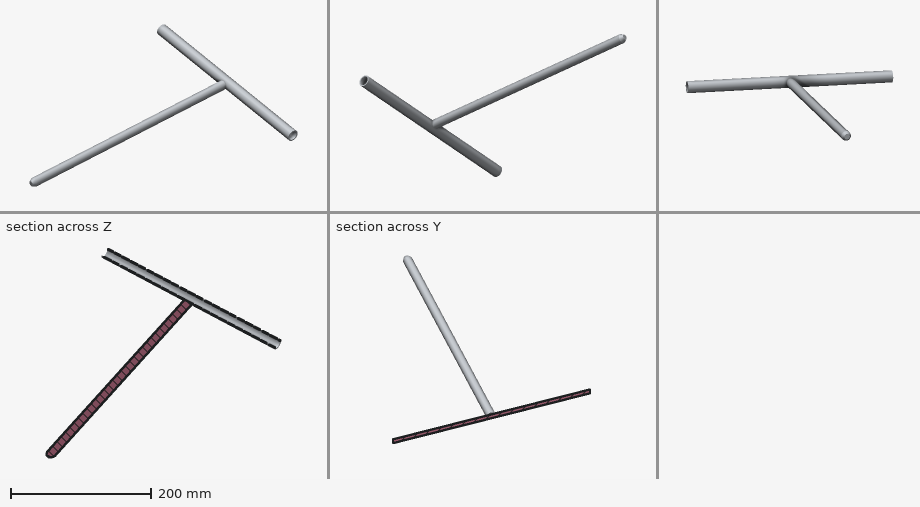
import cadquery as cq

overall_depth = 366.5
handle_length = 300.0
handle_diameter = 17.2
handle_bore = 13.5
rod_diameter = 14.0
rod_end_offset = 7.7
tip_diameter = 8.0
tip_length = 5.5

rod_tip_y = handle_diameter / 2 - overall_depth
rod_total_length = -rod_tip_y - rod_end_offset
rod_straight_length = rod_total_length - tip_length


def make_rod():
    """Solid round rod along -Y with a flat seated end and a conical tip."""
    shank = (
        cq.Workplane("XZ", origin=(0, -rod_end_offset, 0))
        .circle(rod_diameter / 2)
        .extrude(rod_straight_length)
    )
    tip = (
        shank.faces("<Y")
        .workplane()
        .circle(rod_diameter / 2)
        .workplane(offset=tip_length)
        .circle(tip_diameter / 2)
        .loft(combine=False)
    )
    return shank.union(tip)


def make_handle(rod):
    """Tubular cross handle with a shallow flat seat matching the rod end."""
    tube = (
        cq.Workplane("YZ", origin=(-handle_length / 2, 0, 0))
        .circle(handle_diameter / 2)
        .circle(handle_bore / 2)
        .extrude(handle_length)
    )
    return tube.cut(rod)


rod = make_rod()
handle = make_handle(rod)

result = cq.Compound.makeCompound([handle.solids().val(), rod.solids().val()])